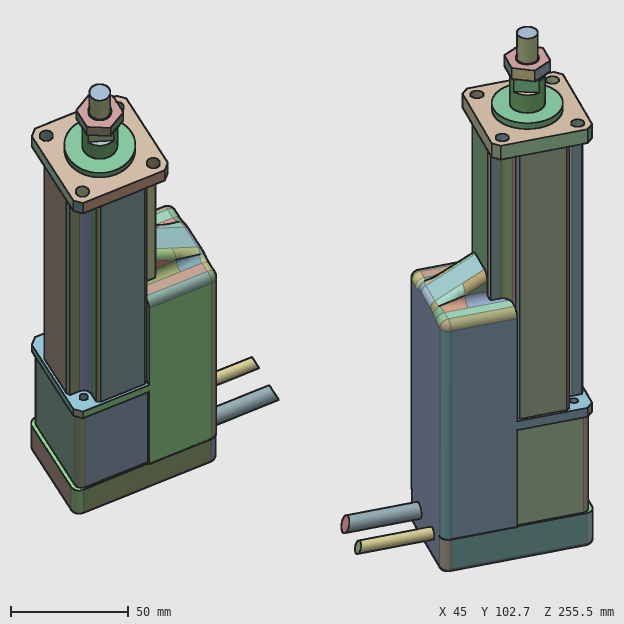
import cadquery as cq
import math

total_height = 255.5

base_width = 44.0
base_front = -23.0
base_top = 17.6
base_edge_fillet = 2.3
corner_radius = 3.8

column_width = 42.2
column_radius = 3.0

motor_width = 45.0
motor_front = 12.0
motor_back = 45.5
motor_top = 129.3

ridge_width = 19.7
ridge_front_height = 17.6
ridge_back_height = 0.3
ridge_fillet = 3.8

tube_width = 42.5
notch_offset = 12.0
notch_radius = 3.8
notch_lip_width = 1.5
notch_lip_depth = 0.9

flange_width = motor_width
plate_bottom = 67.7
plate_top = 72.3
flange_bottom = 209.0
flange_top = 216.2
flange_chamfer = 3.0
flange_hole_offset = 16.9
plate_hole_offset = 15.5
flange_hole_diameter = 5.5
plate_hole_diameter = 3.5
boss_diameter = 30.1
boss_top = 219.2

power_cable_x = 9.0
signal_cable_x = -9.0
cable_height = 13.0
cable_tip = 79.7
power_cable_diameter = 7.5
signal_cable_diameter = 5.5
cable_end_angle = 20.0

rod_diameter = 15.0
shoulder_top = 234.5
flats_bottom = 228.5
flats_width = 10.5
flats_angle = -22.5
stud_diameter = 9.0
collar_diameter = 10.0
collar_bottom = 235.8

nut_width = 17.5
nut_bottom = 236.8
nut_top = 242.5


def block(x_size, y_min, y_max, z_min, z_max):
    """Box centred on X between the given Y and Z limits."""
    size = (x_size, y_max - y_min, z_max - z_min)
    return cq.Workplane("XY").box(*size, centered=(True, False, False)).translate((0, y_min, z_min))


def cylinder(diameter, z_min, z_max):
    """Upright cylinder on the rod axis."""
    return cq.Workplane("XY").workplane(offset=z_min).circle(diameter / 2).extrude(z_max - z_min)


def make_base():
    base = block(base_width, base_front, motor_back, 0, base_top)
    return base.edges("|Z").fillet(corner_radius).faces("<Z").edges().fillet(base_edge_fillet)


def make_column():
    half = column_width / 2
    column = block(column_width, -half, motor_front + corner_radius, base_top, plate_bottom)
    return column.edges("|Z and <Y").fillet(column_radius)


def ridge_section(y, height, depth):
    """Ridge outline across X at the given Y: a flat crest with an S-curve down each side."""
    crest = ridge_width / 2 - ridge_fillet
    middle = ridge_width / 2
    foot = ridge_width / 2 + ridge_fillet
    radius = (ridge_fillet**2 + (height / 2) ** 2) / height
    top = motor_top + height
    return (
        cq.Workplane("XZ", origin=(0, y, 0))
        .moveTo(-foot, motor_top - depth)
        .lineTo(-foot, motor_top)
        .radiusArc((-middle, motor_top + height / 2), -radius)
        .radiusArc((-crest, top), radius)
        .lineTo(crest, top)
        .radiusArc((middle, motor_top + height / 2), radius)
        .radiusArc((foot, motor_top), -radius)
        .lineTo(foot, motor_top - depth)
        .close()
    )


def make_ridge():
    """Ridge that falls towards the back of the motor and blends into its top."""
    depth = ridge_front_height
    blend_height = 2 * ridge_fillet
    slope = (ridge_front_height - ridge_back_height) / (motor_back - motor_front)
    blend_start = motor_back - (blend_height - ridge_back_height) / slope
    length = blend_start - motor_front

    feet = ridge_section(blend_start, blend_height, depth).extrude(length)

    middle = ridge_width / 2
    crest = middle - ridge_fillet
    crest_outline = (
        cq.Workplane("XZ", origin=(0, blend_start, 0))
        .moveTo(-middle, motor_top - depth)
        .lineTo(-middle, motor_top + ridge_fillet)
        .radiusArc((-crest, motor_top + blend_height), ridge_fillet)
        .lineTo(crest, motor_top + blend_height)
        .radiusArc((middle, motor_top + ridge_fillet), ridge_fillet)
        .lineTo(middle, motor_top - depth)
        .close()
    )
    crest_face = cq.Face.makeFromWires(crest_outline.wires().val())
    crest_solid = cq.Solid.extrudeLinear(crest_face, cq.Vector(0, -length, slope * length))

    sections = [
        ridge_section(blend_start, blend_height, depth).wires().val(),
        ridge_section(motor_back, ridge_back_height, depth).wires().val(),
    ]
    run_out = cq.Solid.makeLoft(sections, True)
    return feet.union(cq.Workplane(crest_solid)).union(cq.Workplane(run_out))


def make_motor():
    motor = block(motor_width, motor_front, motor_back, base_top, motor_top)
    motor = motor.edges("|Z and >Y").fillet(corner_radius)
    motor = motor.union(make_ridge())
    crest_end = (0, motor_back, motor_top + ridge_back_height)
    return motor.edges(cq.NearestToPointSelector(crest_end)).fillet(corner_radius)


def make_tube():
    """Square tube profile with a rounded notch along each corner."""
    half = tube_width / 2
    tube = block(tube_width, -half, half, plate_top, flange_bottom)
    outside = tube_width
    lip_start = notch_offset - notch_lip_width
    lip_end = half - notch_lip_depth
    corner = (
        cq.Workplane("XY")
        .workplane(offset=plate_top)
        .moveTo(lip_start, half)
        .lineTo(notch_offset, lip_end)
        .lineTo(notch_offset, notch_offset + notch_radius)
        .radiusArc((notch_offset + notch_radius, notch_offset), -notch_radius)
        .lineTo(lip_end, notch_offset)
        .lineTo(half, lip_start)
        .lineTo(outside, lip_start)
        .lineTo(outside, outside)
        .lineTo(lip_start, outside)
        .close()
        .extrude(flange_bottom - plate_top)
    )
    for turn in range(4):
        tube = tube.cut(corner.rotate((0, 0, 0), (0, 0, 1), 90 * turn))
    return tube


def make_plate(z_min, z_max, hole_diameter, hole_offset):
    """Square plate with chamfered corners and a hole near each corner."""
    half = flange_width / 2
    plate = block(flange_width, -half, half, z_min, z_max).edges("|Z").chamfer(flange_chamfer)
    holes = (
        cq.Workplane("XY")
        .workplane(offset=z_min)
        .rect(2 * hole_offset, 2 * hole_offset, forConstruction=True)
        .vertices()
        .circle(hole_diameter / 2)
        .extrude(z_max - z_min)
    )
    return plate.cut(holes)


def make_cable(x, diameter):
    """Cable leaving the back of the base, cut off at a slant with its tip at the bottom."""
    radius = diameter / 2
    root = motor_back - corner_radius
    slant = diameter * math.tan(math.radians(cable_end_angle))
    low = cable_height - radius
    high = cable_height + radius
    side = [(root, low), (cable_tip, low), (cable_tip - slant, high), (root, high)]
    outline = cq.Workplane("YZ").polyline(side).close().extrude(radius, both=True)
    bar = cq.Workplane("XZ").center(0, cable_height).circle(radius).extrude(-cable_tip)
    return bar.intersect(outline).translate((x, 0, 0))


def make_housing():
    housing = make_base().union(make_motor()).union(make_column())
    housing = housing.union(make_plate(plate_bottom, plate_top, plate_hole_diameter, plate_hole_offset))
    housing = housing.union(make_tube())
    housing = housing.union(make_plate(flange_bottom, flange_top, flange_hole_diameter, flange_hole_offset))
    housing = housing.union(cylinder(boss_diameter, flange_top, boss_top))
    housing = housing.union(make_cable(signal_cable_x, signal_cable_diameter))
    return housing.union(make_cable(power_cable_x, power_cable_diameter))


def make_rod():
    """Rod end with two wrench flats and a stud that carries the nut."""
    rod = cylinder(rod_diameter, boss_top, shoulder_top)
    flats = cq.Workplane("XY").workplane(offset=flats_bottom)
    flats = flats.rect(2 * rod_diameter, 2 * rod_diameter).rect(flats_width, 2 * rod_diameter)
    flats = flats.extrude(shoulder_top - flats_bottom)
    rod = rod.cut(flats.rotate((0, 0, 0), (0, 0, 1), flats_angle))
    rod = rod.union(cylinder(stud_diameter, shoulder_top, total_height))
    return rod.union(cylinder(collar_diameter, collar_bottom, nut_top))


def make_nut():
    """Hexagon nut with flats facing -Y and +Y."""
    across_corners = nut_width / math.cos(math.radians(30))
    hexagon = cq.Workplane("XY").workplane(offset=nut_bottom).polygon(6, across_corners)
    nut = hexagon.extrude(nut_top - nut_bottom)
    return nut.cut(cylinder(collar_diameter, nut_bottom, nut_top))


housing = make_housing()
rod = make_rod()
nut = make_nut()
result = cq.Compound.makeCompound([housing.val(), rod.val(), nut.val()])